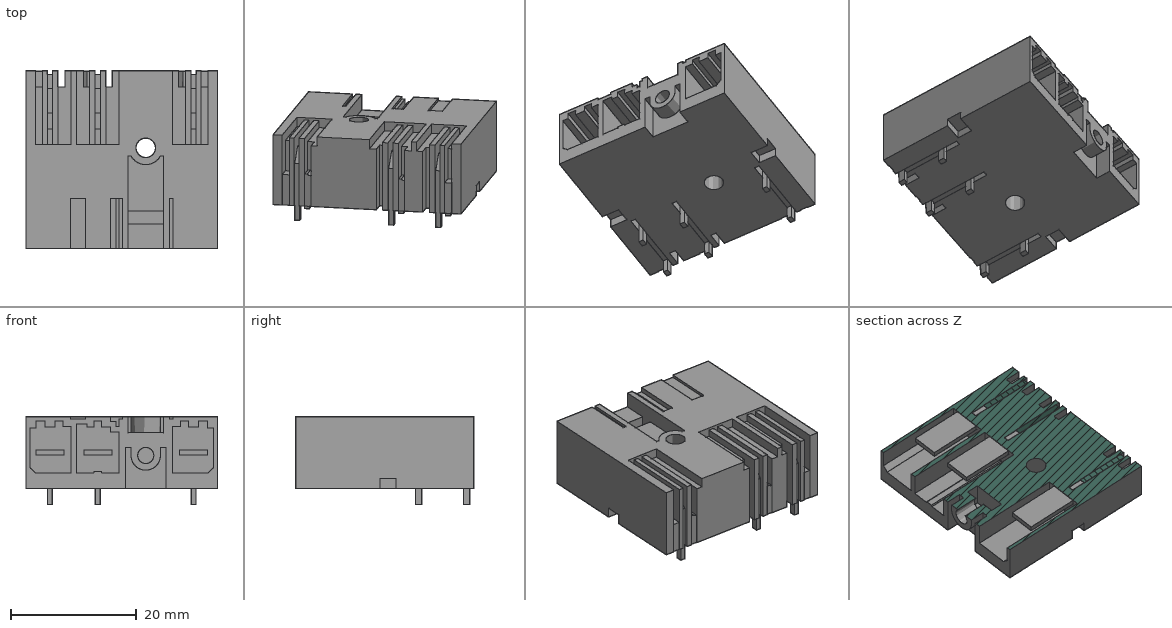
import cadquery as cq
import math


PITCH = 7.62
WIDTH = 4 * PITCH
LENGTH = 28.3
HEIGHT = 11.46
LEFT_X = 0.5 * PITCH
MIDDLE_X = 1.5 * PITCH
FLANGE_X = 2.5 * PITCH
CONTACT_XS = (LEFT_X, MIDDLE_X, WIDTH - LEFT_X)

CAVITY_DEPTH = 15.0
CAVITY_FLOOR = 2.53
CAVITY_CHAMFER = 0.85
CAVITY_SIDE_WALL = 0.65
OUTER_CAVITY_END = 7.17
LOW_ROOF = 9.66
RIB_ROOF = 9.78
INNER_ROOF = 9.9
KEYWAY_ROOF = 10.78
OUTER_KEYWAYS = ((1.65, 3.03), (4.66, 5.91))
MIDDLE_CAVITY = (8.05, 14.82)
MIDDLE_KEYWAY = (10.8, 12.06)
HIGH_CORNER_END = 9.68
HIGH_CORNER_ROOF = 10.28
LOW_CORNER_START = 13.44
LOW_CORNER_ROOF = 9.03
FLOOR_RIDGE_HALF = 0.66
FLOOR_RIDGE_HEIGHT = 0.23
FLOOR_RIDGE_SLOPE = 0.12

GROOVE_LENGTH = 8.0
GROOVE_FLOOR = HEIGHT - 0.4
WIDE_GROOVE = (7.13, 9.45)
NARROW_GROOVE = (22.8, 23.36)
STEP_EDGES = (13.44, 14.32, 14.82, 15.32)
STEP_FLOORS = (10.68, 9.92, GROOVE_FLOOR)

CHANNEL_WIDTH = 5.58
CHANNEL_END = 14.73
CHANNEL_FLOOR = 8.92
MOUNT_Y = 16.03
MOUNT_HOLE = 3.05
MOUNT_BOSS = 5.34
SCREW_Z = 5.28
SCREW_HOLE = 2.56
SCREW_BOSS = 4.66
NUT_START = 3.95
NUT_END = 5.96
NUT_FLOOR = 2.5
RECESS_WIDTH = 6.44
RECESS_HEIGHT = 6.54
RECESS_DEPTH = 2.5

SIDE_NOTCH_START = 13.4
SIDE_NOTCH_END = 15.95
SIDE_NOTCH_HEIGHT = 1.63
SIDE_NOTCH_DEPTH = 3.0

POCKET_START = 16.55
POCKET_FLOOR = HEIGHT - 1.5
OUTER_POCKET = (1.5, 7.17)
MIDDLE_POCKET_HALF = 3.39
GUIDE_TOP = HEIGHT - 0.38
GUIDE_THICK = 0.9
GUIDE_THIN = 0.75
NOTCH_LENGTH = 2.6
OUTER_NOTCH = 1.08
MIDDLE_NOTCH = 0.97
NOTCH_RELIEF = 0.1
NOTCH_FLOOR = 5.0
NOTCH_LEDGE = 0.42
NOTCH_RISE_ANGLE = 45.0

THICKNESS = 0.8
SLOT_HALF = THICKNESS / 2
BLADE_WIDTH = 4.45
BLADE_FRONT = 6.0
BLADE_Z = 5.79
PLATE_FRONT = 19.0
PLATE_STEP = 21.55
PLATE_SLOPE = 25.45
PLATE_BACK = LENGTH - 0.62
PLATE_TOP = 9.0
SHOULDER_TOP = 7.5
LEG_LENGTH = 2.54
LEG_WIDTH = 1.05


def box(x_range, y_range, z_range):
    """Box between the given limits."""
    (x0, x1), (y0, y1), (z0, z1) = x_range, y_range, z_range
    return cq.Workplane("XY").box(x1 - x0, y1 - y0, z1 - z0, centered=False).translate((x0, y0, z0))


def centred(middle, width):
    """Limits of a span around its middle."""
    return (middle - width / 2, middle + width / 2)


def front_prism(points, y_start, y_end):
    """Prism along Y from an outline of (x, z) points."""
    outline = cq.Workplane("XZ", origin=(0, y_start, 0)).polyline(points).close()
    return outline.extrude(y_start - y_end)


def cylinder_z(diameter, z_range):
    """Vertical cylinder on the axis of the mounting hole."""
    z0, z1 = z_range
    return cq.Workplane("XY", origin=(FLANGE_X, MOUNT_Y, z0)).circle(diameter / 2).extrude(z1 - z0)


def mirrored(shape):
    """Mirror image of a shape about the middle of the housing's width."""
    return shape.mirror("YZ", (WIDTH / 2, 0, 0))


def outer_cavity():
    """Left cavity: two keyways in the roof and a chamfered outer floor corner."""
    (key_a, key_b), (key_c, key_d) = OUTER_KEYWAYS
    points = [
        (CAVITY_SIDE_WALL + CAVITY_CHAMFER, CAVITY_FLOOR),
        (OUTER_CAVITY_END, CAVITY_FLOOR),
        (OUTER_CAVITY_END, INNER_ROOF),
        (key_d, INNER_ROOF),
        (key_d, KEYWAY_ROOF),
        (key_c, KEYWAY_ROOF),
        (key_c, RIB_ROOF),
        (key_b, RIB_ROOF),
        (key_b, KEYWAY_ROOF),
        (key_a, KEYWAY_ROOF),
        (key_a, LOW_ROOF),
        (CAVITY_SIDE_WALL, LOW_ROOF),
        (CAVITY_SIDE_WALL, CAVITY_FLOOR + CAVITY_CHAMFER),
    ]
    return front_prism(points, 0, CAVITY_DEPTH)


def middle_cavity():
    """Middle cavity: stepped roof and a low ridge along the floor."""
    left, right = MIDDLE_CAVITY
    key_start, key_end = MIDDLE_KEYWAY
    ridge_top = CAVITY_FLOOR + FLOOR_RIDGE_HEIGHT
    ridge_top_half = FLOOR_RIDGE_HALF - FLOOR_RIDGE_SLOPE
    points = [
        (left, CAVITY_FLOOR),
        (MIDDLE_X - FLOOR_RIDGE_HALF, CAVITY_FLOOR),
        (MIDDLE_X - ridge_top_half, ridge_top),
        (MIDDLE_X + ridge_top_half, ridge_top),
        (MIDDLE_X + FLOOR_RIDGE_HALF, CAVITY_FLOOR),
        (right, CAVITY_FLOOR),
        (right, LOW_CORNER_ROOF),
        (LOW_CORNER_START, LOW_CORNER_ROOF),
        (LOW_CORNER_START, RIB_ROOF),
        (key_end, RIB_ROOF),
        (key_end, KEYWAY_ROOF),
        (key_start, KEYWAY_ROOF),
        (key_start, RIB_ROOF),
        (HIGH_CORNER_END, RIB_ROOF),
        (HIGH_CORNER_END, HIGH_CORNER_ROOF),
        (left, HIGH_CORNER_ROOF),
    ]
    return front_prism(points, 0, CAVITY_DEPTH)


def cut_coding_grooves(body):
    """Two shallow grooves and one stepped groove in the top."""
    y_range = (0, GROOVE_LENGTH)
    for x_range in (WIDE_GROOVE, NARROW_GROOVE):
        body = body.cut(box(x_range, y_range, (GROOVE_FLOOR, HEIGHT)))
    for start, end, floor in zip(STEP_EDGES, STEP_EDGES[1:], STEP_FLOORS):
        body = body.cut(box((start, end), y_range, (floor, HEIGHT)))
    return body


def cut_flange(body):
    """Channel with its mounting boss, nut slot, and the recess around the screw boss."""
    channel_x = centred(FLANGE_X, CHANNEL_WIDTH)
    channel_z = (CHANNEL_FLOOR, HEIGHT)
    channel = box(channel_x, (0, CHANNEL_END), channel_z).cut(cylinder_z(MOUNT_BOSS, channel_z))
    nut_slot = box(channel_x, (NUT_START, NUT_END), (NUT_FLOOR, CHANNEL_FLOOR))

    recess = box(centred(FLANGE_X, RECESS_WIDTH), (0, RECESS_DEPTH), (0, RECESS_HEIGHT))
    screw_plane = cq.Workplane("XZ", origin=(FLANGE_X, 0, SCREW_Z))
    screw_boss = screw_plane.circle(SCREW_BOSS / 2).extrude(-RECESS_DEPTH)
    boss_web = box(centred(FLANGE_X, SCREW_BOSS), (0, RECESS_DEPTH), (SCREW_Z, RECESS_HEIGHT))
    recess = recess.cut(screw_boss).cut(boss_web)
    screw_hole = screw_plane.circle(SCREW_HOLE / 2).extrude(-NUT_START)

    for cutter in (channel, nut_slot, recess, screw_hole, cylinder_z(MOUNT_HOLE, (0, HEIGHT))):
        body = body.cut(cutter)
    return body


def pocket(x_range, guide_x_range):
    """Open rear pocket around a standing guide, which the contact slot later splits into two ribs."""
    space = box(x_range, (POCKET_START, LENGTH), (POCKET_FLOOR, HEIGHT))
    return space.cut(box(guide_x_range, (POCKET_START, LENGTH), (POCKET_FLOOR, GUIDE_TOP)))


def through_notch(x_start, width):
    """Notch in the rear edge through the full height."""
    return box((x_start, x_start + width), (LENGTH - NOTCH_LENGTH, LENGTH), (0, POCKET_FLOOR))


def blind_notch(x_start, width):
    """Notch in the rear edge with a floor, and a slight relief of the back face below it."""
    x_range = (x_start, x_start + width)
    notch = box(x_range, (LENGTH - NOTCH_LENGTH, LENGTH), (NOTCH_FLOOR, POCKET_FLOOR))
    relief = box(x_range, (LENGTH - NOTCH_RELIEF, LENGTH), (0, NOTCH_FLOOR))
    return notch.union(relief)


def rounded_notch(x_start, width):
    """Blind notch whose floor curves up to a narrow ledge beside the guide rib."""
    x_end = x_start + width
    rise_angle = math.radians(NOTCH_RISE_ANGLE)
    radius = (width - NOTCH_LEDGE) / math.sin(rise_angle)
    ledge_z = NOTCH_FLOOR + radius * (1 - math.cos(rise_angle))
    y_start = LENGTH - NOTCH_LENGTH
    y_end = LENGTH - NOTCH_RELIEF
    corner = box((x_start, x_end), (y_start, y_end), (NOTCH_FLOOR, ledge_z))
    axis = cq.Workplane("XZ", origin=(x_start, y_start, NOTCH_FLOOR + radius))
    corner = corner.cut(axis.circle(radius).extrude(y_start - y_end))
    return blind_notch(x_start, width).cut(corner)


def cut_rear(body):
    """Three rear pockets with guide ribs and the notches beside them."""
    pocket_start, pocket_end = OUTER_POCKET
    guide_start = LEFT_X - SLOT_HALF - GUIDE_THIN
    guide_end = LEFT_X + SLOT_HALF + GUIDE_THICK
    outer_pocket = pocket((pocket_start, pocket_end), (guide_start, guide_end))
    outer_blind = blind_notch(pocket_start, guide_start - pocket_start)

    middle_guide_half = SLOT_HALF + GUIDE_THICK
    middle_pocket = pocket(
        centred(MIDDLE_X, 2 * MIDDLE_POCKET_HALF),
        centred(MIDDLE_X, 2 * middle_guide_half),
    )
    cutters = [
        outer_pocket,
        mirrored(outer_pocket),
        middle_pocket,
        outer_blind,
        mirrored(outer_blind),
        through_notch(guide_end, OUTER_NOTCH),
        through_notch(MIDDLE_X + middle_guide_half, MIDDLE_NOTCH),
        rounded_notch(MIDDLE_X - middle_guide_half - MIDDLE_NOTCH, MIDDLE_NOTCH),
        rounded_notch(WIDTH - guide_end - OUTER_NOTCH, OUTER_NOTCH),
    ]
    for cutter in cutters:
        body = body.cut(cutter)
    return body


def blade(x):
    """Flat horizontal blade of a contact."""
    return box(centred(x, BLADE_WIDTH), (BLADE_FRONT, PLATE_STEP), centred(BLADE_Z, THICKNESS))


def make_housing():
    """Housing with a fitting slot and blade opening for each contact."""
    body = box((0, WIDTH), (0, LENGTH), (0, HEIGHT))
    for cavity in (outer_cavity(), middle_cavity(), mirrored(outer_cavity())):
        body = body.cut(cavity)
    body = cut_coding_grooves(body)
    body = cut_flange(body)
    side_notch = box((0, SIDE_NOTCH_DEPTH), (SIDE_NOTCH_START, SIDE_NOTCH_END), (0, SIDE_NOTCH_HEIGHT))
    body = body.cut(side_notch).cut(mirrored(side_notch))
    body = cut_rear(body)
    for x in CONTACT_XS:
        body = body.cut(box(centred(x, THICKNESS), (POCKET_START, LENGTH), (0, HEIGHT)))
        body = body.cut(blade(x))
    return body


def make_contact(x):
    """Contact: upright plate with two solder legs and a horizontal blade."""
    slope_drop = PLATE_BACK - PLATE_SLOPE
    side = [
        (PLATE_FRONT, 0),
        (PLATE_FRONT, SHOULDER_TOP),
        (PLATE_STEP, SHOULDER_TOP),
        (PLATE_STEP, PLATE_TOP),
        (PLATE_SLOPE, PLATE_TOP),
        (PLATE_BACK, PLATE_TOP - slope_drop),
        (PLATE_BACK, 0),
    ]
    plate = cq.Workplane("YZ", origin=(x, 0, 0)).polyline(side).close().extrude(SLOT_HALF, both=True)
    body = plate.union(blade(x))
    for leg_start in (PLATE_FRONT, PLATE_BACK - LEG_WIDTH):
        leg_y = (leg_start, leg_start + LEG_WIDTH)
        body = body.union(box(centred(x, THICKNESS), leg_y, (-LEG_LENGTH, 0)))
    return body


housing = make_housing()
contacts = [make_contact(x) for x in CONTACT_XS]

result = cq.Compound.makeCompound([housing.val(), *[contact.val() for contact in contacts]])